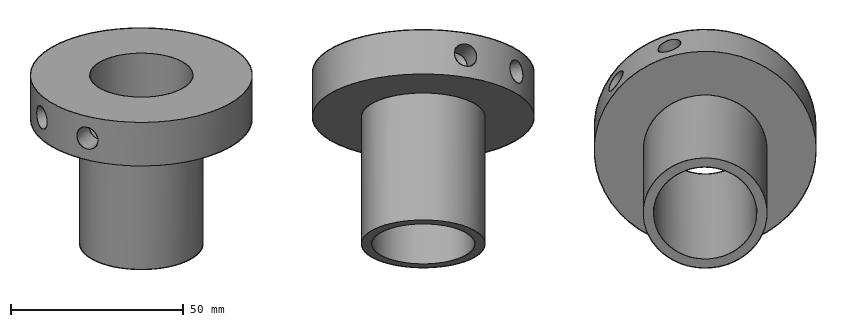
import cadquery as cq
import math

collar_diameter = 64.5
collar_height = 14.0
tube_diameter = 36.0
tube_length = 40.0
bore_diameter = 30.0

hole_diameter = 6.95
hole_depth = 7.5
drill_point_angle = 118.0
hole_angles = [10.0, 45.0]


def make_sleeve():
    """Tube with a collar at its top end and one bore through both."""
    tube = cq.Workplane("XY").circle(tube_diameter / 2).extrude(tube_length)
    collar = (
        cq.Workplane("XY", origin=(0, 0, tube_length))
        .circle(collar_diameter / 2)
        .extrude(collar_height)
    )
    bore = cq.Workplane("XY").circle(bore_diameter / 2).extrude(tube_length + collar_height)
    return tube.union(collar).cut(bore)


def make_drill(angle):
    """Radial cutter with a conical point aimed at the Z axis."""
    hole_radius = hole_diameter / 2
    rim_radius = collar_diameter / 2
    point_length = hole_radius / math.tan(math.radians(drill_point_angle / 2))
    floor_y = hole_depth - rim_radius
    tip_y = floor_y + point_length
    return (
        cq.Workplane("XY")
        .moveTo(0, -rim_radius)
        .lineTo(hole_radius, -rim_radius)
        .lineTo(hole_radius, floor_y)
        .lineTo(0, tip_y)
        .close()
        .revolve(360, (0, 0, 0), (0, 1, 0))
        .translate((0, 0, tube_length + collar_height / 2))
        .rotate((0, 0, 0), (0, 0, 1), angle)
    )


def make_flanged_sleeve():
    """Sleeve with the blind holes drilled in the rim of its collar."""
    body = make_sleeve()
    for angle in hole_angles:
        body = body.cut(make_drill(angle))
    return body


flanged_sleeve = make_flanged_sleeve()

result = cq.Compound.makeCompound(flanged_sleeve.solids().vals())